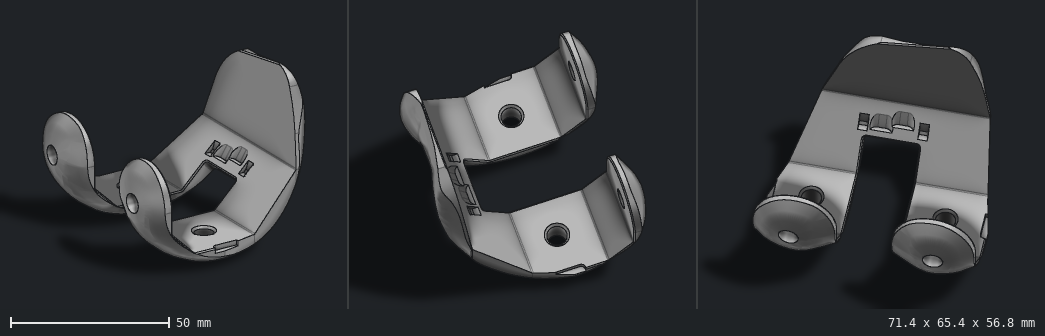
import cadquery as cq
import math


height = 56.85
half_width = 35.7
far = 85.6

floor_z = 8.8
flange_corner = (24.75, 25.9)
flange_top = (27.05, height)
floor_front_y = 7.1
floor_back_y = -17.05
slope_rise = (flange_corner[1] - floor_z) / (flange_corner[0] - floor_front_y)
back_wall_y = -25.4
back_wall_bottom_z = 16.9
corner_fillet = 0.7

lateral_front_x = -24.3
medial_front_x = 29.95
lateral_facet_x = -31.4
medial_facet_x = 32.9
side_bend_y = -5.7
below = -3.6

notch_half_width = 9.1
notch_end_y = 15.85
notch_corner_radius = 1.2
edge_chamfer = 0.4
touch_gap = 0.01
lobe_x = (notch_half_width + half_width) / 2
lobe_radius = (half_width - notch_half_width) / 2
lobe_top_z = 38.1

dome_center = (1.4, 28.55)
section_count = 18
section_reach = 37.1
lean_z = 60.0
ridge_x = 22.1
lateral_ridge_lean = 15.0
lateral_rim_lean = 25.5
medial_rim_lean = 12.0
groove_lean = 10.0
groove_bottom_start = 0.8
max_fall = 1.15

ridge_stations = [
    (27.75, 57.8, 0.4, 0.6),
    (30.0, 53.3, 2.5, 1.8),
    (32.2, 46.1, 5.15, 3.1),
    (32.45, 37.1, 5.85, 3.4),
    (31.1, 27.8, 5.7, 4.65),
    (26.55, 17.5, 5.0, 5.15),
    (18.05, 7.9, 4.65, 5.3),
    (6.55, 1.5, 5.35, 6.3),
    (-4.3, 0.0, 5.35, 6.3),
    (-15.35, 2.5, 4.9, 6.05),
    (-23.75, 7.7, 5.0, 5.7),
    (-30.2, 15.0, 4.65, 5.35),
    (-32.9, 24.25, 4.65, 5.35),
    (-31.3, 32.75, 4.65, 5.35),
    (-26.3, 39.1, 4.65, 5.35),
]

hole_radius = 3.2
peg_hole_x = 21.6
peg_hole_y = -4.6
peg_hole_chamfer = 0.8
wall_hole_x = 23.25
wall_hole_z = 25.1

side_recess_depth = 2.1
side_recess_back_y = -9.35
side_recess_front_y = 0.0
side_recess_height = 1.7
side_recess_radius = 1.4

wedge_x = 9.7
wedge_width = 3.0
wedge_start_y = 17.1
wedge_floor_end_y = 19.1
wedge_wall_y = 20.0
wedge_end_y = 20.9
scoop_places = [(-3.8, 17.55), (2.85, 18.9)]
scoop_front_half = 3.6
scoop_back_half = 1.3
scoop_shoulder = (2.85, 0.9)
scoop_depth = 1.4
scoop_taper = 33.0
scoop_height = 5.0


def slope_z(y):
    """Height of the front sloping facet at y."""
    return floor_z + slope_rise * (y - floor_front_y)


def fall_at(x, station):
    """Depth of the dome below its ridge, at x, for one station."""
    y, z, rim_depth, groove_depth = station
    lean = z / lean_z if y > 0 else 0.0
    groove_x = groove_lean * lean
    if x < groove_x:
        top_x = -ridge_x + lateral_ridge_lean * lean
        rim_x = -half_width + lateral_rim_lean * lean
    else:
        top_x = ridge_x
        rim_x = half_width - medial_rim_lean * lean
    if min(top_x, groove_x) <= x <= max(top_x, groove_x):
        share = min((x - top_x) / (groove_x - top_x) / groove_bottom_start, 1)
        return groove_depth * (1 - math.cos(math.pi * share)) / 2
    share = min((x - top_x) / (rim_x - top_x), max_fall)
    return rim_depth * share ** 2


def dome_point(x, station):
    """Point (y, z) of the outside surface at x for one station."""
    y = station[0] - dome_center[0]
    z = station[1] - dome_center[1]
    keep = 1 - fall_at(x, station) / math.hypot(y, z)
    return (dome_center[0] + keep * y, dome_center[1] + keep * z)


def dome_body():
    """Solid under the outside surface, lofted across X."""
    sections = []
    for i in range(section_count):
        x = section_reach * (2 * i / (section_count - 1) - 1)
        points = [cq.Vector(x, *dome_point(x, s)) for s in ridge_stations]
        curve = cq.Edge.makeSpline(points)
        closing = cq.Edge.makeLine(points[-1], points[0])
        sections.append(cq.Wire.assembleEdges([curve, closing]))
    return cq.Workplane(obj=cq.Solid.makeLoft(sections))


def inside_cut():
    """Prism of the space inside the facets."""
    lean = (flange_top[0] - flange_corner[0]) / (flange_top[1] - flange_corner[1])
    profile = (
        cq.Workplane("YZ")
        .moveTo(flange_corner[0] + lean * (far - flange_corner[1]), far)
        .lineTo(*flange_corner)
        .lineTo(floor_front_y, floor_z)
        .lineTo(floor_back_y, floor_z)
        .lineTo(back_wall_y, back_wall_bottom_z)
        .lineTo(back_wall_y, far)
        .close()
    )
    prism = profile.extrude(far, both=True)
    low = cq.selectors.BoxSelector((-far, -far, 0), (far, far, flange_corner[1] + 0.7))
    return prism.edges("|X").edges(low).fillet(corner_fillet)


def front_outline():
    """Outline of the flange seen along Y, extended below the part."""
    return (
        cq.Workplane("XZ")
        .moveTo(-half_width, below)
        .lineTo(-half_width, flange_corner[1])
        .lineTo(lateral_front_x, flange_corner[1])
        .lineTo(-19.55, 38.0)
        .threePointArc((-13.8, 47.95), (-5.8, 53.65))
        .lineTo(15.7, height)
        .threePointArc((20.4, 54.9), (23.2, 51.4))
        .threePointArc((26.4, 43.5), (28.0, 37.25))
        .lineTo(medial_front_x, flange_corner[1])
        .lineTo(half_width, flange_corner[1])
        .lineTo(half_width, below)
        .close()
        .extrude(-far)
    )


def lobe_outline(side):
    """Outline of one rear lobe seen along Y."""
    shoulder_z = lobe_top_z - lobe_radius
    return (
        cq.Workplane("XZ")
        .moveTo(side * lobe_x - lobe_radius, below)
        .lineTo(side * lobe_x - lobe_radius, shoulder_z)
        .threePointArc((side * lobe_x, lobe_top_z), (side * lobe_x + lobe_radius, shoulder_z))
        .lineTo(side * lobe_x + lobe_radius, below)
        .close()
        .extrude(far)
    )


def top_outline():
    """Outline of the whole part seen along Z, without the notch."""
    return (
        cq.Workplane("XY")
        .moveTo(-half_width, -far)
        .lineTo(-half_width, side_bend_y)
        .lineTo(lateral_facet_x, floor_front_y)
        .lineTo(lateral_front_x, flange_corner[0])
        .lineTo(lateral_front_x, far)
        .lineTo(medial_front_x, far)
        .lineTo(medial_front_x, flange_corner[0])
        .lineTo(medial_facet_x, floor_front_y)
        .lineTo(half_width, side_bend_y)
        .lineTo(half_width, -far)
        .close()
        .extrude(far)
    )


def notch_cut():
    """Open-backed notch whose end wall is square to the front sloping facet."""
    edge_z = slope_z(notch_end_y)
    top_z = edge_z + height
    bottom_z = edge_z - height
    return (
        cq.Workplane("YZ")
        .moveTo(notch_end_y - slope_rise * height, top_z)
        .lineTo(notch_end_y + slope_rise * height, bottom_z)
        .lineTo(-far, bottom_z)
        .lineTo(-far, top_z)
        .close()
        .extrude(notch_half_width, both=True)
        .edges("not (|X or |Y or |Z)")
        .fillet(notch_corner_radius)
    )


def peg_hole(side):
    """Vertical hole through the floor, chamfered at the floor."""
    rim = hole_radius + peg_hole_chamfer
    cutter = (
        cq.Workplane("XZ")
        .lineTo(hole_radius, 0)
        .lineTo(hole_radius, floor_z - peg_hole_chamfer)
        .lineTo(rim, floor_z)
        .lineTo(0, floor_z)
        .close()
        .revolve(360, (0, 0, 0), (0, 1, 0))
    )
    return cutter.translate((side * peg_hole_x, peg_hole_y, 0))


def wall_hole(side):
    """Hole along Y through a rear lobe."""
    return (
        cq.Workplane("XZ")
        .center(side * wall_hole_x, wall_hole_z)
        .circle(hole_radius)
        .extrude(far)
    )


def side_recess(side):
    """Shallow step in the floor at the outer edge, rounded at its rear corner."""
    length = side_recess_front_y - side_recess_back_y
    block = (
        cq.Workplane("XY")
        .box(2 * side_recess_depth, length, 2 * side_recess_height)
        .edges("|Z and <Y")
        .fillet(side_recess_radius)
    )
    middle_y = (side_recess_front_y + side_recess_back_y) / 2
    return block.translate((side * half_width, middle_y, floor_z))


def wedge_pocket(side):
    """Small pocket with a level floor and a steep end, open to the sloping facet."""
    floor = slope_z(wedge_start_y)
    return (
        cq.Workplane("YZ")
        .moveTo(wedge_start_y, floor)
        .lineTo(wedge_floor_end_y, floor)
        .lineTo(wedge_wall_y, floor + slope_rise * (wedge_wall_y - wedge_floor_end_y))
        .lineTo(wedge_end_y, slope_z(wedge_end_y))
        .close()
        .extrude(wedge_width / 2, both=True)
        .translate((side * wedge_x, 0, 0))
    )


def scoop_pocket(x, y):
    """Flaring pocket with a level floor, open to the sloping facet."""
    shoulder_x, shoulder_y = scoop_shoulder
    return (
        cq.Workplane("XY")
        .moveTo(-scoop_front_half, 0)
        .threePointArc((-shoulder_x, shoulder_y), (-scoop_back_half, scoop_depth))
        .lineTo(scoop_back_half, scoop_depth)
        .threePointArc((shoulder_x, shoulder_y), (scoop_front_half, 0))
        .close()
        .extrude(scoop_height, taper=-scoop_taper)
        .translate((x, y, slope_z(y)))
    )


def lies_on(edge, solid):
    """True when the middle of the edge touches the solid."""
    middle = edge.positionAt(0.5)
    return cq.Vertex.makeVertex(*middle.toTuple()).distance(solid) < touch_gap


def plain_block():
    """Outlines and inside facets together, with the notch and lobe edges eased."""
    inside = inside_cut()
    outline = front_outline().union(lobe_outline(-1)).union(lobe_outline(1))
    block = outline.intersect(top_outline()).cut(notch_cut()).cut(inside)
    eased = []
    for edge in block.edges().vals():
        middle = edge.positionAt(0.5)
        across = abs(edge.tangentAt(0.5).x) > 0.99
        on_notch = abs(middle.x) < notch_half_width + touch_gap
        on_notch_end = abs(middle.y - notch_end_y) < touch_gap
        on_lobe_side = abs(middle.x) > half_width - touch_gap and middle.y < side_bend_y
        on_lobe_top = middle.z > lobe_top_z - touch_gap and middle.y < 0
        wanted = on_notch_end or on_lobe_top or (not across and (on_notch or on_lobe_side))
        if wanted and lies_on(edge, inside.val()):
            eased.append(edge)
    return block.newObject(eased).chamfer(edge_chamfer)


result = dome_body().intersect(plain_block())

for side in (-1, 1):
    result = result.cut(peg_hole(side))
    result = result.cut(wall_hole(side))
    result = result.cut(side_recess(side))
    result = result.cut(wedge_pocket(side))

for x, y in scoop_places:
    result = result.cut(scoop_pocket(x, y))